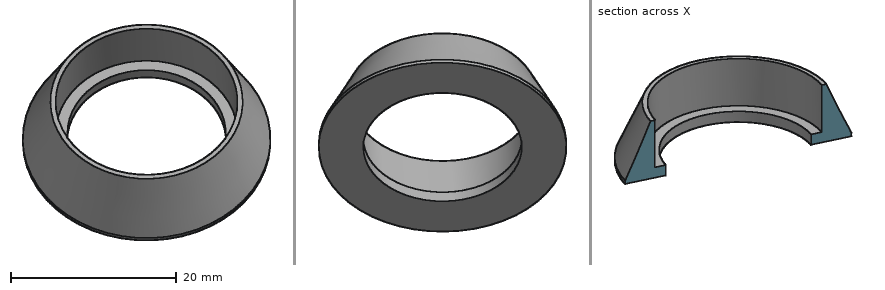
import cadquery as cq

base_diameter = 30.0
height = 8.0

rim_height = 0.5
top_diameter = 23.28

recess_diameter = 22.02
hole_diameter = 19.2
ledge_thickness = 1.5

base_radius = base_diameter / 2
top_radius = top_diameter / 2
recess_radius = recess_diameter / 2
hole_radius = hole_diameter / 2

half_section = (
    cq.Workplane("XZ")
    .moveTo(hole_radius, 0)
    .lineTo(base_radius, 0)
    .lineTo(base_radius, rim_height)
    .lineTo(top_radius, height)
    .lineTo(recess_radius, height)
    .lineTo(recess_radius, ledge_thickness)
    .lineTo(hole_radius, ledge_thickness)
    .close()
)

result = half_section.revolve(360, (0, 0), (0, 1))